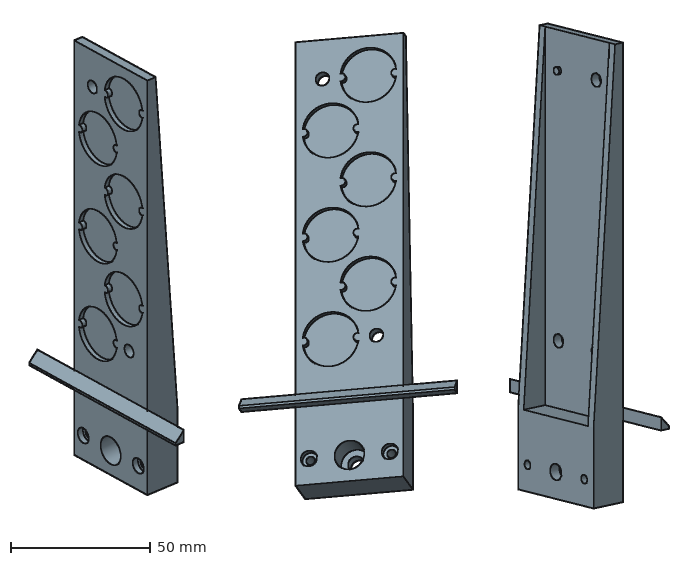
import cadquery as cq

plate_width = 40.0
plate_height = 170.0
base_thickness = 14.5
tip_thickness = 4.0
taper_start = 30.0

wall_thickness = 3.0
recess_width = plate_width - 2 * wall_thickness
recess_bottom = taper_start

seat_diameter = 20.8
seat_depth = 2.0
seat_offset = 7.0
seat_count = 6
seat_pitch = 20.0
lowest_seat = 55.0
highest_seat = lowest_seat + (seat_count - 1) * seat_pitch
nub_diameter = 3.0
nub_offset = 10.0

fixing_offset = 10.0
fixing_diameter = 5.0
peg_diameter = 2.9
peg_height = 1.0

base_hole_height = 10.0
screw_offset = 15.0
screw_diameter = 3.2
screw_head_diameter = 6.0
screw_head_depth = 2.5
centre_diameter = 6.0
centre_bore_diameter = 11.0
centre_bore_depth = 10.0

bar_length = 80.0
bar_depth = 4.0
bar_height = 5.0
bar_lip = 1.0
bar_bottom = taper_start


def cylinder(x, z, diameter, start, end):
    """Cylinder along Y from y = start to y = end."""
    return (
        cq.Workplane("XZ", origin=(x, start, z))
        .circle(diameter / 2)
        .extrude(start - end)
    )


def tapered_blank():
    return (
        cq.Workplane("YZ", origin=(-plate_width / 2, 0, 0))
        .moveTo(0, 0)
        .lineTo(base_thickness, 0)
        .lineTo(base_thickness, taper_start)
        .lineTo(tip_thickness, plate_height)
        .lineTo(0, plate_height)
        .close()
        .extrude(plate_width)
    )


def back_recess():
    depth = base_thickness - tip_thickness
    height = plate_height - recess_bottom
    return (
        cq.Workplane("XY", origin=(0, tip_thickness, recess_bottom))
        .box(recess_width, depth, height, centered=(True, False, False))
    )


def disc_seat(x, z):
    """Cutter for one seat, relieved where the two nubs stay standing."""
    seat = cylinder(x, z, seat_diameter, 0, seat_depth)
    for side in (-1, 1):
        nub_x = x + side * nub_offset
        seat = seat.cut(cylinder(nub_x, z, nub_diameter, 0, seat_depth))
    return seat


def counterbored_hole(x, diameter, bore_diameter, bore_depth):
    hole = cylinder(x, base_hole_height, diameter, 0, base_thickness)
    return hole.union(cylinder(x, base_hole_height, bore_diameter, 0, bore_depth))


def make_plate():
    plate = tapered_blank().cut(back_recess())

    for index in range(seat_count):
        side = -1 if index % 2 == 0 else 1
        plate = plate.cut(disc_seat(side * seat_offset, lowest_seat + index * seat_pitch))

    for side, z in ((1, lowest_seat), (-1, highest_seat)):
        plate = plate.cut(cylinder(side * fixing_offset, z, fixing_diameter, 0, tip_thickness))
        peg = cylinder(-side * fixing_offset, z, peg_diameter, seat_depth, tip_thickness + peg_height)
        plate = plate.union(peg)

    for side in (-1, 1):
        plate = plate.cut(
            counterbored_hole(side * screw_offset, screw_diameter, screw_head_diameter, screw_head_depth)
        )
    return plate.cut(counterbored_hole(0, centre_diameter, centre_bore_diameter, centre_bore_depth))


def make_ledge_bar():
    """Bar with a sloping top face that ends in a thin lip at the front."""
    return (
        cq.Workplane("YZ", origin=(-bar_length / 2, 0, 0))
        .moveTo(0, bar_bottom)
        .lineTo(-bar_depth, bar_bottom)
        .lineTo(-bar_depth, bar_bottom + bar_lip)
        .lineTo(0, bar_bottom + bar_height)
        .close()
        .extrude(bar_length)
    )


plate = make_plate()
ledge_bar = make_ledge_bar()

result = cq.Compound.makeCompound([plate.val(), ledge_bar.val()])